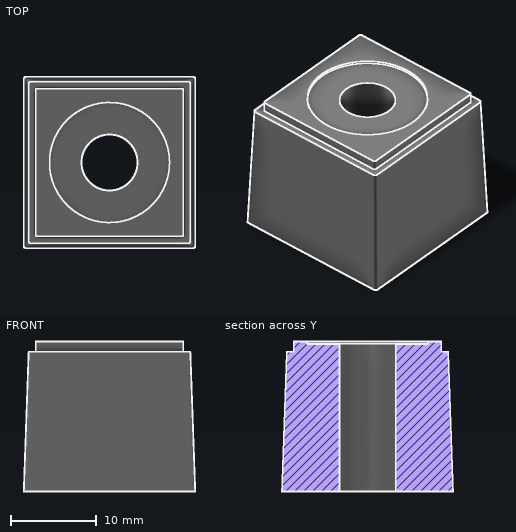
import cadquery as cq

base_width = 20.0
total_height = 17.5

draft_angle = 2.0
body_edge_radius = 0.3

pad_width = 17.2
pad_height = 1.2
pad_edge_radius = 0.2

recess_diameter = 14.0
recess_depth = 0.3
bore_diameter = 6.5

body_height = total_height - pad_height


def tapered_body():
    """Square block narrowing upward, with its four slanted edges rounded."""
    block = cq.Workplane("XY").rect(base_width, base_width).extrude(body_height, taper=draft_angle)
    slanted_edges = block.edges("not #Z")
    return slanted_edges.fillet(body_edge_radius)


def top_pad():
    """Straight square pad standing on the body, with rounded vertical edges."""
    pad = cq.Workplane("XY").workplane(offset=body_height).rect(pad_width, pad_width).extrude(pad_height)
    return pad.edges("|Z").fillet(pad_edge_radius)


def round_cut(diameter, depth):
    """Cylinder reaching down from the top face, for cutting."""
    return cq.Workplane("XY").workplane(offset=total_height - depth).circle(diameter / 2).extrude(depth)


body = tapered_body().union(top_pad())
recess = round_cut(recess_diameter, recess_depth)
bore = round_cut(bore_diameter, total_height)

result = body.cut(recess).cut(bore)